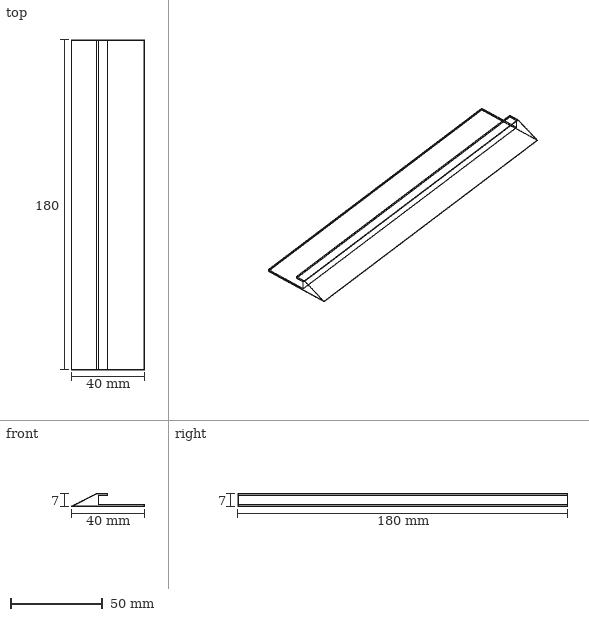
import cadquery as cq

length = 180.0
width = 40.0
height = 7.0
plate_thickness = 1.0
lip_thickness = 1.0
ramp_run = 13.9
web_x = 15.0
lip_end_x = 19.8

lip_underside = height - lip_thickness

profile = [
    (0, 0),
    (width, 0),
    (width, plate_thickness),
    (web_x, plate_thickness),
    (web_x, lip_underside),
    (lip_end_x, lip_underside),
    (lip_end_x, height),
    (ramp_run, height),
]

result = (
    cq.Workplane("XZ")
    .polyline(profile)
    .close()
    .extrude(length / 2, both=True)
    .translate((-width / 2, 0, 0))
)